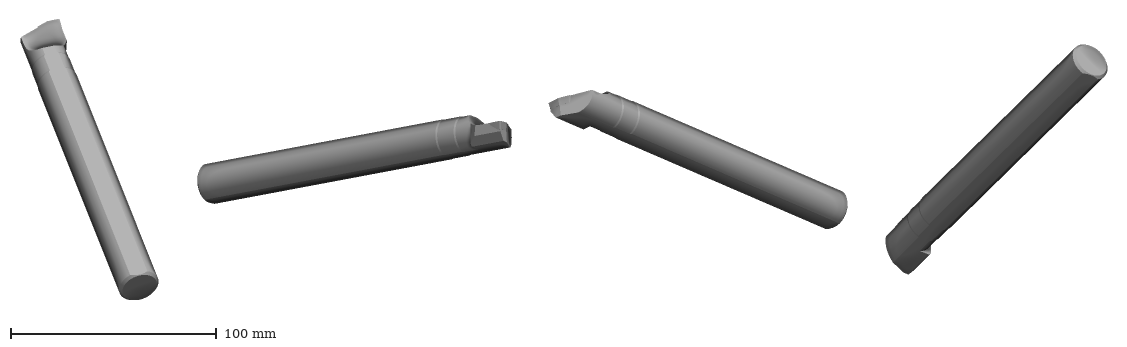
import cadquery as cq
import math


total_length = 181.19
shank_radius = 10.0
height_over_flats = 18.0
band_radius = 9.75
neck_radius = 9.5
band_start = 28.5
band_end = 39.1
step_length = 0.9
end_chamfer = 1.3

inscribed_diameter = 9.525
inscribed_radius = inscribed_diameter / 2
insert_thickness = 3.97
corner_angle = 80.0
corner_radius = 0.4
insert_relief = 7.0
screw_hole_diameter = 4.4
screw_head_diameter = 6.0
screw_head_depth = (screw_head_diameter - screw_hole_diameter) / 2
corner_count = 3
corner_pitch = 360.0 / corner_count
cutting_corner_direction = 135.0

tip_offset = 12.75
rake_tilt = 6.0
tilt = math.radians(rake_tilt)
scoop_yaw = 1.5
rake_height_on_axis = 1.35
lead_clearance = 0.6
end_clearance = 0.5
head_side = 12.1
bulge_end = 15.0
bulge_runout_end = 19.6
belly_height = -4.9
belly_base_side = 8.4
belly_side = head_side + belly_height * math.tan(tilt)
scoop_start = 12.4
scoop_radius = 12.5

half_corner = math.radians(corner_angle / 2)
half_bend = math.radians(corner_pitch - corner_angle / 2)
corner_distance = inscribed_radius / math.sin(half_corner)
bend_distance = inscribed_radius / math.sin(half_bend)
nose_distance = corner_distance - corner_radius / math.sin(half_corner)

nose_reach = nose_distance * math.sin(math.radians(cutting_corner_direction)) + corner_radius
insert_x = nose_reach
insert_y = tip_offset - nose_reach * math.cos(tilt)
insert_z = rake_height_on_axis - insert_y * math.tan(tilt)

upper_edge_angle = 180.0 - cutting_corner_direction - corner_angle / 2
lower_edge_angle = upper_edge_angle + 180.0 - 2 * math.degrees(half_bend)


def polar(distance, degrees):
    angle = math.radians(degrees)
    return (distance * math.cos(angle), distance * math.sin(angle))


def on_rake_plane(body):
    """Move a body whose rake face is z = 0 about the insert centre to its tilted place."""
    tilted = body.rotate((0, 0, 0), (1, 0, 0), -rake_tilt)
    return tilted.translate((insert_x, insert_y, insert_z))


def make_insert_blank():
    """Trigon plate with relieved sides and rounded corners, without its screw hole."""
    points = []
    for index in range(corner_count):
        direction = cutting_corner_direction + index * corner_pitch
        points.append(polar(corner_distance, direction))
        points.append(polar(bend_distance, direction + corner_pitch / 2))
    blank = cq.Workplane("XY").polyline(points).close().extrude(-insert_thickness, taper=insert_relief)
    for index in range(corner_count):
        direction = cutting_corner_direction + index * corner_pitch
        x, y = polar(corner_distance, direction)
        edge = cq.selectors.NearestToPointSelector((x, y, -insert_thickness / 2))
        blank = blank.edges("not #Z").edges(edge).fillet(corner_radius)
    return blank


def make_screw():
    """Countersunk screw, flush with the rake face and ending on the pocket floor."""
    profile = [
        (0, 0),
        (screw_head_diameter / 2, 0),
        (screw_hole_diameter / 2, -screw_head_depth),
        (screw_hole_diameter / 2, -insert_thickness),
        (0, -insert_thickness),
    ]
    return cq.Workplane("XZ").polyline(profile).close().revolve(360, (0, 0), (0, 1))


def make_bar():
    """Turned bar with its neck and band, and the two long flats."""
    profile = [
        (0, 0),
        (0, neck_radius),
        (band_start, neck_radius),
        (band_start + step_length, band_radius),
        (band_end, band_radius),
        (band_end + step_length, shank_radius),
        (total_length - end_chamfer, shank_radius),
        (total_length, shank_radius - end_chamfer),
        (total_length, 0),
    ]
    bar = cq.Workplane("XY").polyline(profile).close().revolve(360, (0, 0), (1, 0))
    between_flats = cq.Workplane("XY").box(
        total_length, 2 * shank_radius, height_over_flats, centered=(False, True, True)
    )
    return bar.intersect(between_flats)


def make_bulge():
    """Sideways extension of the head that carries the insert."""
    outline = [
        (0, 0),
        (0, head_side),
        (bulge_end, head_side),
        (bulge_runout_end, neck_radius),
        (bulge_runout_end, 0),
    ]
    section = [
        (0, -height_over_flats / 2),
        (belly_base_side, -height_over_flats / 2),
        (belly_side, belly_height),
        (head_side, 0),
        (head_side, insert_thickness),
        (0, insert_thickness),
    ]
    plan = cq.Workplane("XY").polyline(outline).close().extrude(height_over_flats, both=True)
    return plan.intersect(cq.Workplane("YZ").polyline(section).close().extrude(bulge_runout_end))


def end_face_bend():
    """Point where the end faces meet, from the insert centre: a clearance inside the insert edges."""
    bend_x, bend_y = polar(bend_distance, cutting_corner_direction + corner_pitch / 2)
    upper = math.radians(upper_edge_angle)
    lower = math.radians(lower_edge_angle)
    turn = math.sin(lower - upper)
    shift_x = (lead_clearance * math.sin(lower) - end_clearance * math.sin(upper)) / turn
    shift_y = (end_clearance * math.cos(upper) - lead_clearance * math.cos(lower)) / turn
    return bend_x + shift_x, bend_y + shift_y


def make_end_cut():
    """Space in front of the two end faces, which run square to the rake face along the insert edges."""
    bend_x, bend_y = end_face_bend()
    top_y = 2 * shank_radius
    bottom_y = -2 * shank_radius
    top_x = bend_x - (top_y - bend_y) * math.tan(math.radians(upper_edge_angle))
    bottom_x = bend_x + (bend_y - bottom_y) * math.tan(math.radians(lower_edge_angle))
    outline = [
        (top_x, top_y),
        (bend_x, bend_y),
        (bottom_x, bottom_y),
        (-shank_radius, bottom_y),
        (-shank_radius, top_y),
    ]
    space = cq.Workplane("XY").polyline(outline).close().extrude(height_over_flats, both=True)
    return on_rake_plane(space)


def make_scoop():
    """Space above the rake face, running out upwards through a tangent arc."""
    start = scoop_start - insert_x
    reach = 2 * shank_radius
    scoop = (
        cq.Workplane("XZ")
        .moveTo(-reach, 0)
        .lineTo(start, 0)
        .radiusArc((start + scoop_radius, scoop_radius), -scoop_radius)
        .lineTo(start + scoop_radius, reach)
        .lineTo(-reach, reach)
        .close()
        .extrude(2 * reach, both=True)
    )
    return on_rake_plane(scoop.rotate((0, 0, 0), (0, 0, 1), scoop_yaw))


def make_holder():
    """Bar and head with the insert pocket, the screw standing on the pocket floor."""
    body = make_bar().union(make_bulge()).cut(make_end_cut()).cut(make_scoop())
    return body.cut(on_rake_plane(make_insert_blank())).union(on_rake_plane(make_screw()))


holder = make_holder()
insert = on_rake_plane(make_insert_blank().cut(make_screw()))

result = cq.Compound.makeCompound([holder.val(), insert.val()])